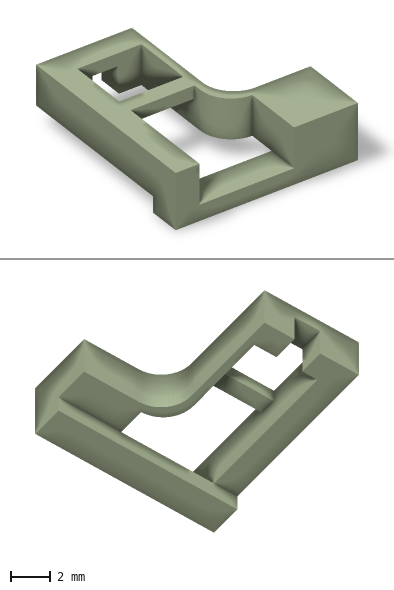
import cadquery as cq

length = 12.4
depth = 11.4
height = 3.5

foot_height = 1.0
slot_top = 2.7

front_bar = 1.5
arm_back = 6.0
wall = 0.5
bend_radius = 1.93
block_left = 8.2
block_front = 7.4
foot_width = 2.0
window_left = 1.54
rib_left = 5.26
rib_width = 1.0

slot_front = 2.45
slot_width = 1.65

window_back = arm_back - wall
rib_right = rib_left + rib_width
bend_mid = bend_radius * 0.5 ** 0.5


def box(x_range, y_range, z_range):
    """Box spanning the given (low, high) ranges."""
    (x0, x1), (y0, y1), (z0, z1) = x_range, y_range, z_range
    return cq.Workplane("XY").box(x1 - x0, y1 - y0, z1 - z0, centered=False).translate((x0, y0, z0))


def make_body():
    """L-shaped plate with a rounded inside corner."""
    center_x = block_left - bend_radius
    center_y = arm_back + bend_radius
    return (
        cq.Workplane("XY", origin=(0, 0, foot_height))
        .lineTo(length, 0)
        .lineTo(length, depth)
        .lineTo(block_left, depth)
        .lineTo(block_left, center_y)
        .threePointArc((center_x + bend_mid, center_y - bend_mid), (center_x, arm_back))
        .lineTo(0, arm_back)
        .close()
        .extrude(height - foot_height)
    )


def make_right_opening():
    """Opening from the rib to the right side, bounded by the curved wall."""
    bend_end = block_left + wall
    center_x = bend_end - bend_radius
    center_y = window_back + bend_radius
    return (
        cq.Workplane("XY", origin=(0, 0, foot_height))
        .moveTo(rib_right, front_bar)
        .lineTo(length, front_bar)
        .lineTo(length, block_front)
        .lineTo(bend_end, block_front)
        .lineTo(bend_end, center_y)
        .threePointArc((center_x + bend_mid, center_y - bend_mid), (center_x, window_back))
        .lineTo(rib_right, window_back)
        .close()
        .extrude(height - foot_height)
    )


window = box((window_left, rib_left), (front_bar, window_back), (foot_height, height))
under_rib = box((rib_left, rib_right), (front_bar, window_back), (foot_height, slot_top))
end_slot = box((0, window_left), (slot_front, slot_front + slot_width), (foot_height, slot_top))
foot = box((length - foot_width, length), (0, depth), (0, foot_height))

body = make_body().cut(make_right_opening()).cut(window).cut(under_rib).cut(end_slot)
result = body.union(foot)